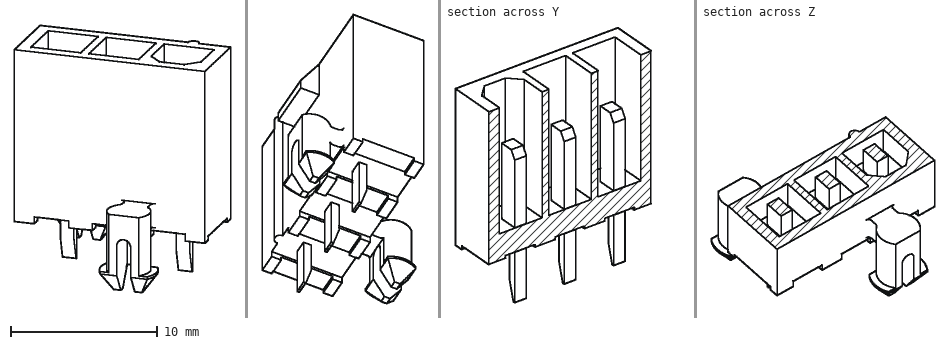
import cadquery as cq
import math


total_height = 15.95
housing_length = 13.8
housing_width = 5.39
housing_bottom = 3.51

pitch = 4.2
contact_x = [-pitch, 0.0, pitch]

cavity_size = 3.6
cavity_floor = 5.95
key_chamfer = 0.91

gap_height = 0.5
end_foot_length = 1.44
inner_foot_length = 1.72
channel_width = 3.94
channel_height = 0.29

contact_width = 0.99
contact_back = 1.15
blade_thickness = 1.52
blade_top = 11.96
blade_bevel_depth = 0.4
blade_bevel_height = 0.64
leg_thickness = 0.6
leg_tip_thickness = 0.18
leg_taper_height = 1.52

latch_length = 3.41
latch_depth = 1.4
latch_bottom = 12.87
latch_lip_height = 0.78
rib_radius = 0.4

overall_width = 11.56
post_radius = 1.52
post_width = 2.14
post_top = 5.95
barb_radius = 2.01
barb_top = 1.74
barb_rim_height = 0.18
tip_radius = 1.04
tip_width = 0.43
tip_bottom = 0.24
slot_width = 1.0
slot_top = 4.23
neck_width = 1.88
neck_bottom = 4.23
neck_root_fillet = 0.27
neck_post_fillet = 0.19

half_width = housing_width / 2
post_offset = (overall_width - post_width) / 2
gap_top = housing_bottom + gap_height


def block(x_size, y_size, z_low, z_high, x=0.0, y=0.0):
    """Box centred on (x, y) that spans z_low to z_high."""
    return (
        cq.Workplane("XY", origin=(x, y, z_low))
        .rect(x_size, y_size)
        .extrude(z_high - z_low)
    )


def side_profile(points, x, length):
    """Closed (Y, Z) outline extruded along X, centred on x."""
    return (
        cq.Workplane("YZ", origin=(x, 0, 0))
        .polyline(points)
        .close()
        .extrude(length / 2, both=True)
    )


def flatted_round(plane, radius, width):
    """Circle outline cut off by two flats that are width apart in Y."""
    y = width / 2
    x = math.sqrt(radius**2 - y**2)
    return (
        plane.moveTo(-x, -y)
        .lineTo(x, -y)
        .threePointArc((radius, 0), (x, y))
        .lineTo(-x, y)
        .threePointArc((-radius, 0), (-x, -y))
        .close()
    )


def make_housing():
    body = block(housing_length, housing_width, housing_bottom, total_height)

    for x in contact_x:
        cavity = block(cavity_size, cavity_size, cavity_floor, total_height, x)
        if x == contact_x[-1]:
            cavity = cavity.faces("<Y").edges("|Z").chamfer(key_chamfer)
        body = body.cut(cavity)

    body = body.cut(
        block(housing_length - 2 * end_foot_length, housing_width, housing_bottom, gap_top)
    )
    for x in (-pitch / 2, pitch / 2):
        body = body.union(block(inner_foot_length, housing_width, housing_bottom, gap_top, x))

    return body.cut(
        block(housing_length, channel_width, housing_bottom, housing_bottom + channel_height)
    )


def make_contact(x):
    blade_front = contact_back - blade_thickness
    leg_front = contact_back - leg_thickness
    outline = [
        (contact_back, 0),
        (contact_back, blade_top - blade_bevel_height),
        (contact_back - blade_bevel_depth, blade_top),
        (blade_front, blade_top),
        (blade_front, cavity_floor),
        (leg_front, cavity_floor),
        (leg_front, leg_taper_height),
        (contact_back - leg_tip_thickness, 0),
    ]
    return side_profile(outline, x, contact_width)


def make_latch():
    outline = [
        (half_width, latch_bottom),
        (half_width + latch_depth, latch_bottom),
        (half_width + latch_depth, latch_bottom + latch_lip_height),
        (half_width, total_height),
    ]
    return side_profile(outline, 0, latch_length)


def make_rib():
    rib = (
        cq.Workplane("XY", origin=(pitch, half_width, gap_top))
        .circle(rib_radius)
        .extrude(total_height - gap_top)
    )
    outer_half = block(
        2 * rib_radius, rib_radius, gap_top, total_height, pitch, half_width + rib_radius / 2
    )
    return rib.intersect(outer_half)


def neck_fillet(wall_y, radius, side):
    """Web filling the corner between a neck side and the wall at wall_y."""
    x = side * neck_width / 2
    centre_x = x + side * radius
    centre_y = wall_y - radius
    middle = radius * math.sqrt(0.5)
    return (
        cq.Workplane("XY", origin=(0, 0, neck_bottom))
        .moveTo(x, wall_y)
        .lineTo(centre_x, wall_y)
        .threePointArc((centre_x - side * middle, centre_y + middle), (x, centre_y))
        .close()
        .extrude(post_top - neck_bottom)
    )


def make_post():
    """Board lock centred on the origin with its neck reaching +Y."""
    shank = flatted_round(
        cq.Workplane("XY", origin=(0, 0, barb_top)), post_radius, post_width
    ).extrude(post_top - barb_top)

    rim_bottom = barb_top - barb_rim_height
    rim = flatted_round(
        cq.Workplane("XY", origin=(0, 0, rim_bottom)), barb_radius, post_width
    ).extrude(barb_rim_height)
    barb_section = flatted_round(
        cq.Workplane("XY", origin=(0, 0, rim_bottom)), barb_radius, post_width
    )
    tip_plane = barb_section.workplane(offset=tip_bottom - rim_bottom)
    tip = flatted_round(tip_plane, tip_radius, tip_width).loft(ruled=True)

    wall_y = post_offset - half_width
    neck = block(neck_width, wall_y, neck_bottom, post_top, y=wall_y / 2)
    inner_half = block(2 * post_radius, post_radius, neck_bottom, post_top, y=post_radius / 2)
    head = (
        cq.Workplane("XY", origin=(0, 0, neck_bottom))
        .circle(post_radius)
        .extrude(post_top - neck_bottom)
        .intersect(inner_half)
        .union(neck)
    )
    corner_y = math.sqrt(post_radius**2 - (neck_width / 2) ** 2)
    for x in (-neck_width / 2, neck_width / 2):
        corner = cq.selectors.NearestToPointSelector((x, corner_y, (neck_bottom + post_top) / 2))
        head = head.edges("|Z").edges(corner).fillet(neck_post_fillet)
    for side in (-1, 1):
        head = head.union(neck_fillet(wall_y, neck_root_fillet, side))

    slot_radius = slot_width / 2
    arch_z = slot_top - slot_radius
    slot = block(slot_width, post_width, 0, arch_z).union(
        cq.Workplane("XZ", origin=(0, 0, arch_z))
        .circle(slot_radius)
        .extrude(post_width / 2, both=True)
    )
    return shank.union(rim).union(tip).cut(slot).union(head)


result = make_housing().union(make_latch()).union(make_rib())
for x in contact_x:
    result = result.union(make_contact(x))

post = make_post()
rear_post = post.rotate((0, 0, 0), (0, 0, 1), 180).translate((-pitch, post_offset, 0))
result = result.union(post.translate((pitch / 2, -post_offset, 0))).union(rear_post)